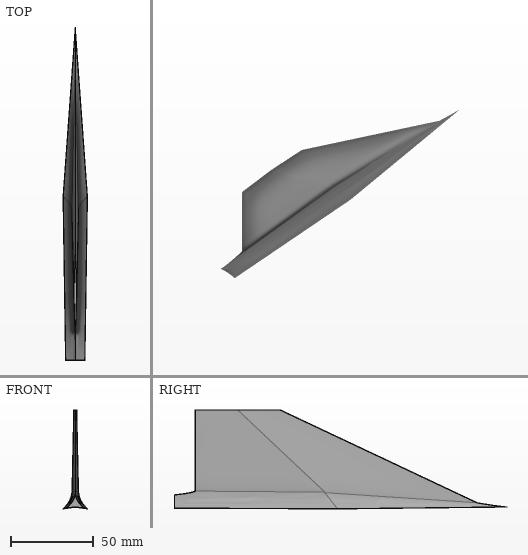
import cadquery as cq
import math

length = 200.61
base_width = 14.74
overall_height = 59.67
body_radius = 25.0

fairing_overhang = 12.5
tip_chord = 51.4
root_half_thickness = 2.2
tip_half_thickness = 0.91

fairing_tuck = 0.012
ridge_edge_y = -1.9
tail_half_width = 5.85
fairing_height = 10.3
nose_fairing_height = 2.0

overlap = 5.0


def body_z(x):
    """Height of the fuselage surface at x, measured from its crown at z = 0."""
    return math.sqrt(body_radius**2 - x**2) - body_radius


half_width = base_width / 2
fin_height = overall_height + body_z(half_width)
nose_y = length / 2
tail_y = -length / 2
root_leading_y = nose_y - fairing_overhang
trailing_y = tail_y + fairing_overhang
root_ridge_y = (root_leading_y + trailing_y) / 2
tip_ridge_y = trailing_y + tip_chord / 2


def ridge_y(z):
    """Position along Y of the thickest line of the fin at height z."""
    return root_ridge_y + (tip_ridge_y - root_ridge_y) * z / fin_height


def fin_half_thickness(z):
    return root_half_thickness + (tip_half_thickness - root_half_thickness) * z / fin_height


def leading_y(z):
    """Leading edge, as far ahead of the thickest line as the trailing edge is behind it."""
    return 2 * ridge_y(z) - trailing_y


def fin_section(z):
    """Diamond outline of the fin at height z."""
    middle = ridge_y(z)
    half = fin_half_thickness(z)
    corners = [(0, leading_y(z)), (half, middle), (0, trailing_y), (-half, middle)]
    return cq.Wire.makePolygon([cq.Vector(x, y, z) for x, y in corners], close=True)


def make_fin():
    """Ruled fin between its root diamond at the crown and its tip diamond."""
    return cq.Workplane(obj=cq.Solid.makeLoft([fin_section(0), fin_section(fin_height)], True))


def fairing_section(edge_x, edge_y, top_x, top_y, top_z):
    """Right-hand fairing section: a hollow arc, upright at the top, down to the fuselage surface."""
    edge_z = body_z(edge_x)
    run = edge_x - top_x
    drop = top_z - edge_z
    radius = (run**2 + drop**2) / (2 * run)
    half_sweep = math.asin(drop / radius) / 2
    middle_x = top_x + radius * (1 - math.cos(half_sweep))
    middle_z = top_z - radius * math.sin(half_sweep)

    def point(x, z):
        lean = (top_y - edge_y) / drop
        return cq.Vector(x, edge_y + lean * (z - edge_z), z)

    edge = point(edge_x, edge_z)
    top = point(top_x, top_z)
    inner_top = point(-overlap, top_z)
    inner_base = point(-overlap, body_z(-overlap))
    base_middle_x = (edge_x - overlap) / 2
    base_middle = point(base_middle_x, body_z(base_middle_x))
    return cq.Wire.assembleEdges([
        cq.Edge.makeThreePointArc(edge, point(middle_x, middle_z), top),
        cq.Edge.makeLine(top, inner_top),
        cq.Edge.makeLine(inner_top, inner_base),
        cq.Edge.makeThreePointArc(inner_base, base_middle, edge),
    ])


def overrun_x(top_half_thickness, fin_fraction):
    """Where the straight fairing top ends, having crossed the centre plane part-way along."""
    return top_half_thickness * (fin_fraction - 1) / fin_fraction


def make_fairing():
    top_ridge_y = ridge_y(fairing_height)
    top_half_thickness = fin_half_thickness(fairing_height)

    lead_at_ridge = leading_y(fairing_height) - top_ridge_y
    lead_at_nose = leading_y(nose_fairing_height) - nose_y
    front_fraction = lead_at_ridge / (lead_at_ridge - lead_at_nose)
    rear_fraction = (top_ridge_y - trailing_y) / (top_ridge_y - tail_y)
    nose_top_x = overrun_x(top_half_thickness, front_fraction) - fairing_tuck
    tail_top_x = overrun_x(top_half_thickness, rear_fraction) - fairing_tuck

    nose = fairing_section(0, nose_y, nose_top_x, nose_y, nose_fairing_height)
    ridge_top_x = top_half_thickness - fairing_tuck
    ridge = fairing_section(half_width, ridge_edge_y, ridge_top_x, top_ridge_y, fairing_height)
    tail = fairing_section(tail_half_width, tail_y, tail_top_x, tail_y, fairing_height)
    front = cq.Workplane(obj=cq.Solid.makeLoft([nose, ridge], True))
    rear = cq.Workplane(obj=cq.Solid.makeLoft([ridge, tail], True))

    right_side = cq.Workplane("XY").box(
        base_width, 2 * length, overall_height, centered=(False, True, True)
    )
    half = front.union(rear).intersect(right_side)
    return half.union(half.mirror("YZ"))


part = make_fairing().union(make_fin())
result = cq.Workplane(obj=part.solids().val())